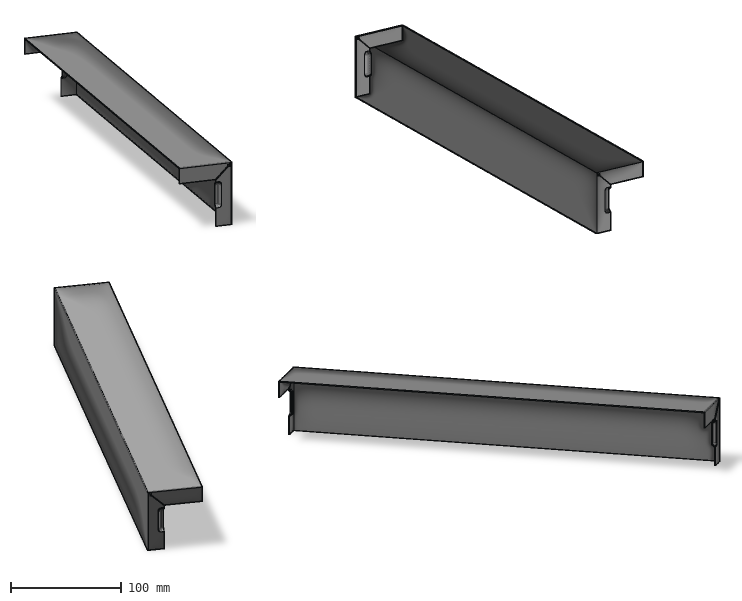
import cadquery as cq
import math

length = 402.0
depth = 51.0
height = 60.0

sheet = 1.0
bend_radius = 1.0
top_inset = 0.5
back_flange = 15.5
top_flange = 15.3

slit_width = 0.2
relief_size = 1.5
relief_inset = 4.0

dimple_center = 29.7
dimple_height = 24.0
dimple_width = 5.2
dimple_depth = 3.0
dimple_taper = 2.5
dimple_corner = 3.0
dimple_floor_radius = 1.2
dimple_wall_growth = 0.5

half_length = length / 2
half_depth = depth / 2
flange_edge = half_depth - back_flange


def inset_block(span, inset):
    """Block of the given X span, inset from the rear and top."""
    block = cq.Workplane("XY").box(span, depth, height, centered=(True, True, False))
    return block.translate((0, -inset, -inset))


def folded_shell(span):
    """Thin top, rear and end walls folded from one sheet."""
    block = inset_block(span, 0)
    bends = block.edges("(>X or <X) and (>Y or >Z)").add(block.edges(">Y and >Z"))
    return bends.fillet(bend_radius).cut(inset_block(span - 2 * sheet, sheet))


def folded_sheet():
    """Top and rear plates with an L-shaped wall folded in at each end."""
    front_room = cq.Workplane("XY").box(length, depth, height, centered=(True, False, False))
    front_room = front_room.translate((0, flange_edge - depth, 0))
    top_zone = (
        cq.Workplane("YZ", origin=(-half_length, 0, 0))
        .polyline(
            [
                (-half_depth, height),
                (-half_depth, height - top_flange),
                (flange_edge, height - top_flange),
                (half_depth, height),
            ]
        )
        .close()
        .extrude(length)
    )
    rear_part = folded_shell(length).cut(front_room).cut(top_zone)
    top_part = folded_shell(length - 2 * top_inset).intersect(top_zone)
    return rear_part.union(top_part)


def dimple_block(x_start, width, tall):
    """Tapered block narrowing in the +X direction, cut off at the flange edge."""
    block = (
        cq.Workplane("YZ", origin=(x_start, flange_edge, dimple_center))
        .sketch()
        .rect(2 * width, tall)
        .vertices()
        .fillet(dimple_corner)
        .finalize()
        .extrude(dimple_depth, taper=math.degrees(math.atan2(dimple_taper, dimple_depth)))
        .faces(">X")
        .edges()
        .fillet(dimple_floor_radius)
    )
    front_half = cq.Workplane("XY").box(length, depth, 2 * height, centered=(True, False, True))
    return block.intersect(front_half.translate((x_start, flange_edge, 0)))


def add_dimple_pair(body):
    """Raise the inner skin of both dimples, then hollow them from outside."""
    wall = dimple_block(
        -half_length + sheet,
        dimple_width + dimple_wall_growth,
        dimple_height + 2 * dimple_wall_growth,
    )
    hollow = dimple_block(-half_length, dimple_width, dimple_height)
    body = body.union(wall).union(wall.mirror("YZ"))
    return body.cut(hollow).cut(hollow.mirror("YZ"))


def mitre_cutter():
    """Slit and corner relief running through both ends."""
    corner_y = half_depth - relief_inset
    corner_z = height - relief_inset
    run_y = flange_edge - corner_y
    run_z = height - top_flange - corner_z
    run = math.hypot(run_y, run_z)
    slit = (
        cq.Workplane("YZ")
        .box(2 * run, slit_width, length)
        .rotate((0, 0, 0), (1, 0, 0), math.degrees(math.atan2(run_z, run_y)))
        .translate((0, flange_edge, height - top_flange))
    )
    outside_relief = cq.Workplane("XY").box(length, back_flange, top_flange, centered=(True, False, False))
    outside_relief = outside_relief.translate((0, corner_y, corner_z))
    relief = cq.Workplane("XY").box(length, relief_size, relief_size, centered=(True, False, False))
    return slit.cut(outside_relief).union(relief.translate((0, corner_y, corner_z)))


result = add_dimple_pair(folded_sheet()).cut(mitre_cutter())